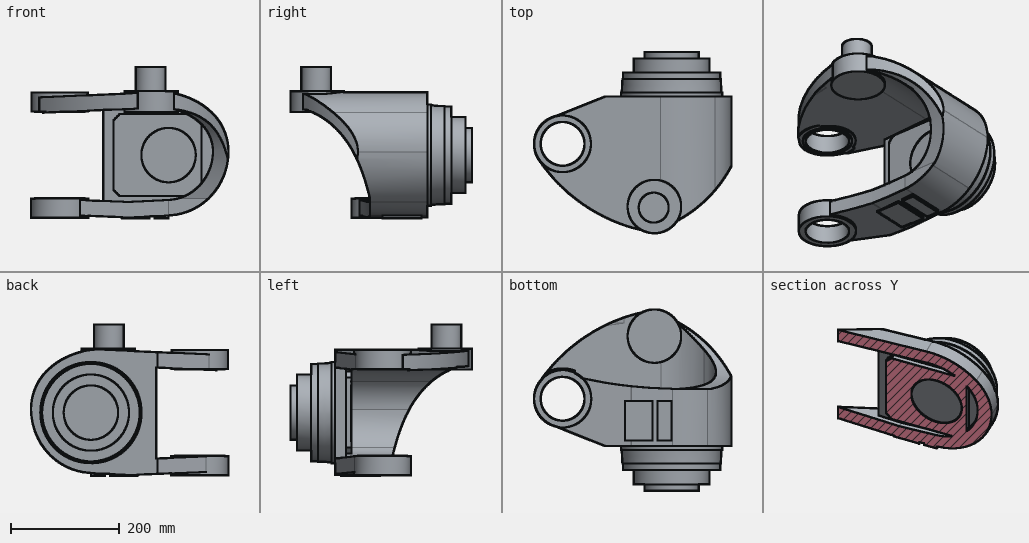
import cadquery as cq


ARM_THICKNESS = 28.6
ARM_DEPTH = 260.0
ARM_TIP_X = -252.0
UPPER_TIP = (ARM_TIP_X, 91.0)
LOWER_TIP = (ARM_TIP_X, -93.0)
UPPER_BEND_START = (-20.0, 101.3)
ARM_BEND = [(69.5, 67.8), (95.8, 6.0), (57.3, -74.8), (1.0, -96.6), (-74.0, -100.3)]

BUSH_X = -200.0
BUSH_Y = -87.0
BUSH_HOLE_RADIUS = 40.0
UPPER_BUSH_RADIUS = 52.0
LOWER_BUSH_RADIUS = 52.7
BUSH_INNER_Z = 80.0
BUSH_OUTER_Z = 115.0
BUSH_LIP_RADIUS = 45.3
BUSH_LIP_HEIGHT = 1.0
TIP_CLEARANCE_RADIUS = 56.0

COLLAR_CENTER = (-31.5, -202.1)
COLLAR_RADIUS = 49.2
COLLAR_BOTTOM_Z = 79.0
COLLAR_TOP_Z = 117.4
PIN_CENTER = (-32.8, -204.0)
PIN_RADIUS = 27.5
PIN_TOP_Z = 162.0

ARM_RIGHT_X = 110.0
SIDE_CLEARANCE = 5.0
TRIM_HALF_HEIGHT = 130.0
REAR_CORNER_X = -122.0
BUSH_REAR_TANGENT = (-219.0, -38.7)
BUSH_FRONT_TANGENT = (-237.6, -124.8)
FRONT_EDGE_MIDDLE = (-162.0, -198.5)
FRONT_EDGE_END = (-57.4, -245.0)
RIGHT_EDGE_START = (10.9, -228.0)
RIGHT_EDGE_MIDDLE = (76.5, -175.9)
RIGHT_EDGE_END = (ARM_RIGHT_X, -127.6)

LOWER_EDGE_START = (-170.0, -126.0)
LOWER_EDGE_MIDDLE = (-74.0, -110.0)
LOWER_EDGE_END = (0.0, -105.4)
SWEEP_BOTTOM = (LOWER_EDGE_END[1], -80.0)
SWEEP_MIDDLE = [(-127.6, -11.5), (-153.5, 32.7), (-182.2, 61.5)]
SWEEP_TOP = (-226.0, 84.0)

WEB_LEFT_X = -120.0
WEB_THICKNESS = 20.0
PAD_LEFT_X = -100.8
PAD_RIGHT_X = 60.0
PAD_HALF_HEIGHT = 75.0
PAD_THICKNESS = 10.0
PAD_CHAMFER = 11.0

SHAFT_RADIUS = 50.0
SHAFT_SETBACK = 0.5
SPINDLE_STEPS = [
    (93.0, 93.0, 6.8),
    (91.8, 90.5, 31.7),
    (89.6, 89.6, 44.0),
    (70.0, 70.0, 70.0),
    (SHAFT_RADIUS, SHAFT_RADIUS, 82.0),
]

FOOT_SPANS = [(-85.2, -34.7), (-25.4, 0.0)]
FOOT_REAR_Y = -10.7
FOOT_FRONT_Y = -82.5
FOOT_TOP_Z = -105.0
FOOT_BOTTOM_Z = -116.0


def vertical_cylinder(center, radius, bottom_z, top_z):
    return cq.Workplane("XY", origin=(*center, bottom_z)).circle(radius).extrude(top_z - bottom_z)


def line_along_bend(start):
    """Line from `start` to the bend, carried on by tangent arcs along the middle of the band."""
    path = cq.Workplane("XZ").moveTo(*start).lineTo(*UPPER_BEND_START)
    for point in ARM_BEND:
        path = path.tangentArcPoint(point, relative=False)
    return path


def bent_band():
    """The bent band over its full depth, before its front is trimmed."""
    center_line = line_along_bend(UPPER_TIP)
    return center_line.lineTo(*LOWER_TIP).offset2D(ARM_THICKNESS / 2).extrude(ARM_DEPTH)


def upper_outline():
    """Prism over the plan outline of the upper arm, tall enough to hold both arms."""
    return (
        cq.Workplane("XY", origin=(0, 0, -TRIM_HALF_HEIGHT))
        .moveTo(REAR_CORNER_X, 0)
        .lineTo(*BUSH_REAR_TANGENT)
        .lineTo(*BUSH_FRONT_TANGENT)
        .threePointArc(FRONT_EDGE_MIDDLE, FRONT_EDGE_END)
        .lineTo(*RIGHT_EDGE_START)
        .threePointArc(RIGHT_EDGE_MIDDLE, RIGHT_EDGE_END)
        .lineTo(RIGHT_EDGE_END[0] + SIDE_CLEARANCE, RIGHT_EDGE_END[1])
        .lineTo(RIGHT_EDGE_END[0] + SIDE_CLEARANCE, 0)
        .close()
        .extrude(2 * TRIM_HALF_HEIGHT)
    )


def lower_arm_trim():
    """Space in front of the set-back edge of the lower arm."""
    return (
        cq.Workplane("XY", origin=(0, 0, -TRIM_HALF_HEIGHT))
        .moveTo(ARM_TIP_X, BUSH_Y)
        .lineTo(*LOWER_EDGE_START)
        .threePointArc(LOWER_EDGE_MIDDLE, LOWER_EDGE_END)
        .lineTo(ARM_RIGHT_X + SIDE_CLEARANCE, LOWER_EDGE_END[1])
        .lineTo(ARM_RIGHT_X + SIDE_CLEARANCE, -ARM_DEPTH)
        .lineTo(ARM_TIP_X, -ARM_DEPTH)
        .close()
        .extrude(TRIM_HALF_HEIGHT + SWEEP_BOTTOM[1])
    )


def sweep_trim():
    """Space in front of the curved edge that climbs the bend from the lower to the upper arm."""
    return (
        cq.Workplane("YZ", origin=(ARM_TIP_X, 0, 0))
        .moveTo(*SWEEP_BOTTOM)
        .spline(SWEEP_MIDDLE + [SWEEP_TOP], includeCurrent=True)
        .lineTo(-ARM_DEPTH, SWEEP_TOP[1])
        .lineTo(-ARM_DEPTH, SWEEP_BOTTOM[1])
        .close()
        .extrude(ARM_RIGHT_X + SIDE_CLEARANCE - ARM_TIP_X)
    )


def arm():
    """Trimmed band whose tips do not rise past the inner faces of the bushings."""
    tip_clearance = vertical_cylinder((BUSH_X, BUSH_Y), TIP_CLEARANCE_RADIUS, -BUSH_INNER_Z, BUSH_INNER_Z)
    trimmed = bent_band().intersect(upper_outline()).cut(lower_arm_trim()).cut(sweep_trim())
    return trimmed.cut(tip_clearance)


def web():
    """Rear plate whose right side runs into the bend, with a pad recessed over the shaft."""
    bend = line_along_bend((WEB_LEFT_X, UPPER_BEND_START[1]))
    plate = bend.lineTo(WEB_LEFT_X, ARM_BEND[-1][1]).close().extrude(WEB_THICKNESS)
    pad = (
        cq.Workplane("XZ", origin=((PAD_LEFT_X + PAD_RIGHT_X) / 2, -WEB_THICKNESS, 0))
        .rect(PAD_RIGHT_X - PAD_LEFT_X, 2 * PAD_HALF_HEIGHT)
        .extrude(PAD_THICKNESS)
        .edges("|Y and <X")
        .chamfer(PAD_CHAMFER)
    )
    shaft_recess = (
        cq.Workplane("XZ", origin=(0, SHAFT_SETBACK - WEB_THICKNESS - PAD_THICKNESS, 0))
        .circle(SHAFT_RADIUS)
        .extrude(SHAFT_SETBACK)
    )
    return plate.union(pad).cut(shaft_recess)


def bushing(radius, side):
    """Ring at the tip of the upper (side 1) or lower (side -1) arm, with a lip facing the other arm."""
    center = (BUSH_X, BUSH_Y)
    ring = vertical_cylinder(center, radius, side * BUSH_INNER_Z, side * BUSH_OUTER_Z)
    lip_z = side * (BUSH_INNER_Z - BUSH_LIP_HEIGHT)
    return ring.union(vertical_cylinder(center, BUSH_LIP_RADIUS, lip_z, side * BUSH_OUTER_Z))


def bushing_hole():
    return vertical_cylinder((BUSH_X, BUSH_Y), BUSH_HOLE_RADIUS, -TRIM_HALF_HEIGHT, TRIM_HALF_HEIGHT)


def collar_and_pin():
    collar = vertical_cylinder(COLLAR_CENTER, COLLAR_RADIUS, COLLAR_BOTTOM_Z, COLLAR_TOP_Z)
    return collar.union(vertical_cylinder(PIN_CENTER, PIN_RADIUS, COLLAR_BOTTOM_Z, PIN_TOP_Z))


def spindle():
    """Stepped, partly tapered stack turned about the Y axis."""
    profile = cq.Workplane("XY").moveTo(0, 0)
    start_y = 0
    for start_radius, end_radius, end_y in SPINDLE_STEPS:
        profile = profile.lineTo(start_radius, start_y).lineTo(end_radius, end_y)
        start_y = end_y
    return profile.lineTo(0, start_y).close().revolve(360, (0, 0, 0), (0, 1, 0))


def foot(left_x, right_x):
    return cq.Workplane("XY").box(
        right_x - left_x, FOOT_REAR_Y - FOOT_FRONT_Y, FOOT_TOP_Z - FOOT_BOTTOM_Z, centered=False
    ).translate((left_x, FOOT_FRONT_Y, FOOT_BOTTOM_Z))


result = arm().union(web())
result = result.union(bushing(UPPER_BUSH_RADIUS, 1)).union(bushing(LOWER_BUSH_RADIUS, -1))
result = result.cut(bushing_hole()).union(collar_and_pin()).union(spindle())
for left_x, right_x in FOOT_SPANS:
    result = result.union(foot(left_x, right_x))